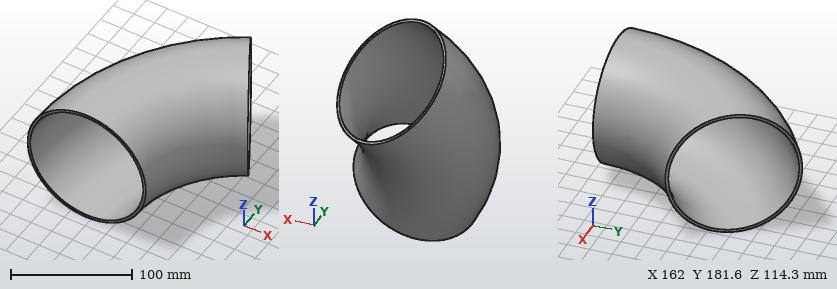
import cadquery as cq

outer_diameter = 114.3
wall_thickness = 2.6
bend_radius = 152.5
bend_angle = 60.0

outer_radius = outer_diameter / 2
inner_radius = outer_radius - wall_thickness


def pipe_elbow():
    """Revolve the ring-shaped pipe section about an axis parallel to Z.

    The first end lies in the XZ plane, centred on the origin. The pipe leaves it
    toward +Y and bends toward +X.
    """
    section = cq.Workplane("XZ").circle(outer_radius).circle(inner_radius)
    axis_start = (bend_radius, 0)
    axis_end = (bend_radius, -1)
    return section.revolve(bend_angle, axis_start, axis_end)


result = pipe_elbow()